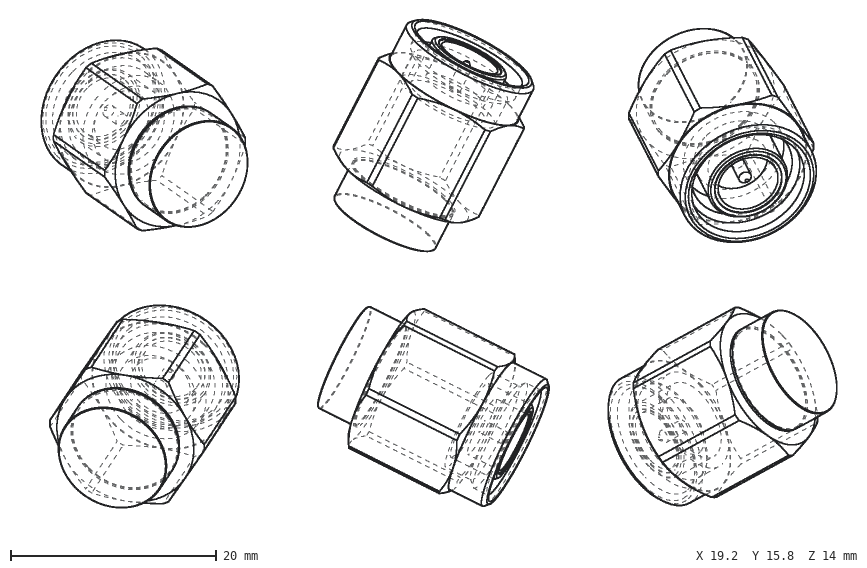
import cadquery as cq
import math

length = 19.16
across_flats = 14.03
corner_diameter = 15.8

sleeve_radius = 6.94
sleeve_chamfer = 0.4
mouth_radius = 6.2
bore_radius = 5.73
mouth_depth = 0.48
inner_bore_radius = 5.13
bore_cone_start = 2.0
bore_cone_end = 2.59
bore_floor = 5.36

nut_start = 3.99
nut_end = 15.0
nut_chamfer_angle = 30.0

collar_radius = 5.54
collar_start = 15.23
collar_edge = 0.08
neck_radius = 5.36
neck_width = 0.1

tube_radius = 4.05
tube_start = 0.35
tube_chamfer = 0.21
liner_radius = 3.41
liner_recess = 0.11
liner_start = tube_start + liner_recess
socket_radius = 3.05
socket_floor = 4.0
pin_radius = 0.63
pin_tip_radius = 0.17
pin_start = 0.9
pin_tip_length = 0.57


def revolve_about_x(points):
    """Revolve a closed (x, radius) outline a full turn about the X axis."""
    return cq.Workplane("XY").polyline(points).close().revolve(360, (0, 0, 0), (1, 0, 0))


def hexagonal_nut():
    """Hexagon with flats at top and bottom, turned corners and conical ends."""
    flat_radius = across_flats / 2
    corner_radius = corner_diameter / 2
    end_depth = (corner_radius - flat_radius) * math.tan(math.radians(nut_chamfer_angle))
    hexagon_diameter = across_flats / math.cos(math.pi / 6)
    hexagon = (
        cq.Workplane("YZ", origin=(nut_start, 0, 0))
        .polygon(6, hexagon_diameter)
        .extrude(nut_end - nut_start)
    )
    turned_blank = revolve_about_x([
        (nut_start, 0),
        (nut_start, flat_radius),
        (nut_start + end_depth, corner_radius),
        (nut_end - end_depth, corner_radius),
        (nut_end, flat_radius),
        (nut_end, 0),
    ])
    return hexagon.intersect(turned_blank)


def front_sleeve():
    return revolve_about_x([
        (0, 0),
        (0, sleeve_radius - sleeve_chamfer),
        (sleeve_chamfer, sleeve_radius),
        (nut_start, sleeve_radius),
        (nut_start, 0),
    ])


def rear_collar():
    return revolve_about_x([
        (nut_end, 0),
        (nut_end, collar_radius),
        (collar_start - neck_width, neck_radius),
        (collar_start, neck_radius),
        (collar_start, collar_radius),
        (length - collar_edge, collar_radius),
        (length, collar_radius - collar_edge),
        (length, 0),
    ])


def front_bore():
    """Cavity with a flared mouth and a conical step to a narrower deep end."""
    return revolve_about_x([
        (0, 0),
        (0, mouth_radius),
        (mouth_depth, bore_radius),
        (bore_cone_start, bore_radius),
        (bore_cone_end, inner_bore_radius),
        (bore_floor, inner_bore_radius),
        (bore_floor, 0),
    ])


def inner_tube():
    """Tube standing on the bore floor, closed behind the socket."""
    return revolve_about_x([
        (tube_start, liner_radius),
        (tube_start, tube_radius - tube_chamfer),
        (tube_start + tube_chamfer, tube_radius),
        (bore_floor, tube_radius),
        (bore_floor, 0),
        (socket_floor, 0),
        (socket_floor, socket_radius),
        (liner_start, socket_radius),
        (liner_start, liner_radius),
    ])


def centre_pin():
    return revolve_about_x([
        (pin_start, 0),
        (pin_start, pin_tip_radius),
        (pin_start + pin_tip_length, pin_radius),
        (socket_floor, pin_radius),
        (socket_floor, 0),
    ])


shell = front_sleeve().union(hexagonal_nut()).union(rear_collar())
hollow_shell = shell.cut(front_bore())
result = hollow_shell.union(inner_tube()).union(centre_pin())